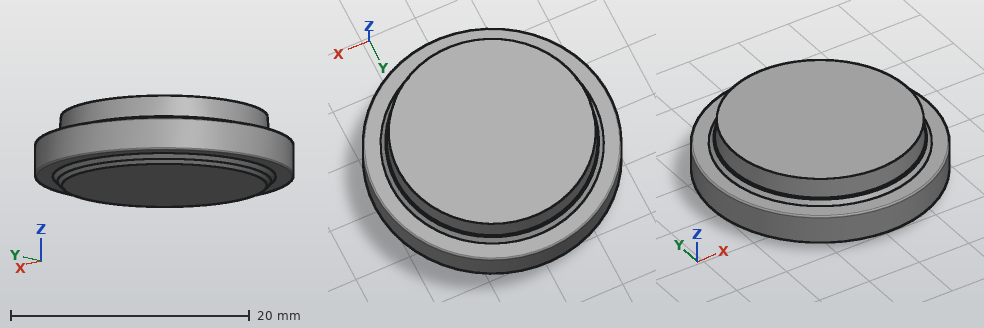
import cadquery as cq
import math

total_height = 5.85
flange_bottom = 0.76
flange_height = 2.76
flange_top = flange_bottom + flange_height

flange_radius = 21.7 / 2
disc_radius = 17.9 / 2

lip_height = 0.4
lip_base_radius = disc_radius + lip_height
flange_edge_fillet = 0.15
lip_bottom = flange_bottom - lip_height
lip_top = flange_top + lip_height

disc_bottom_bevel = lip_bottom
disc_top_bevel = 0.12
crown_draft = 5.0


def make_ring():
    """Outer ring with a plain through bore, rounded rim edges and two bevelled lips."""
    corner = flange_edge_fillet
    arc_mid = corner * (1 - math.sqrt(0.5))
    profile = (
        cq.Workplane("XZ")
        .moveTo(disc_radius, lip_bottom)
        .lineTo(lip_base_radius, flange_bottom)
        .lineTo(flange_radius - corner, flange_bottom)
        .threePointArc(
            (flange_radius - arc_mid, flange_bottom + arc_mid),
            (flange_radius, flange_bottom + corner),
        )
        .lineTo(flange_radius, flange_top - corner)
        .threePointArc(
            (flange_radius - arc_mid, flange_top - arc_mid),
            (flange_radius - corner, flange_top),
        )
        .lineTo(lip_base_radius, flange_top)
        .lineTo(disc_radius, lip_top)
        .close()
    )
    return profile.revolve(360, (0, 0, 0), (0, 1, 0))


def make_disc():
    """Solid disc filling the bore, bevelled below and rising to a tapered crown."""
    crown_bottom = lip_top + disc_top_bevel
    crown_base_radius = disc_radius - disc_top_bevel
    crown_height = total_height - crown_bottom
    crown_top_radius = crown_base_radius - crown_height * math.tan(math.radians(crown_draft))
    profile = (
        cq.Workplane("XZ")
        .lineTo(disc_radius - disc_bottom_bevel, 0)
        .lineTo(disc_radius, disc_bottom_bevel)
        .lineTo(disc_radius, lip_top)
        .lineTo(crown_base_radius, crown_bottom)
        .lineTo(crown_top_radius, total_height)
        .lineTo(0, total_height)
        .close()
    )
    return profile.revolve(360, (0, 0, 0), (0, 1, 0))


ring = make_ring()
disc = make_disc()

result = cq.Compound.makeCompound([ring.val(), disc.val()])